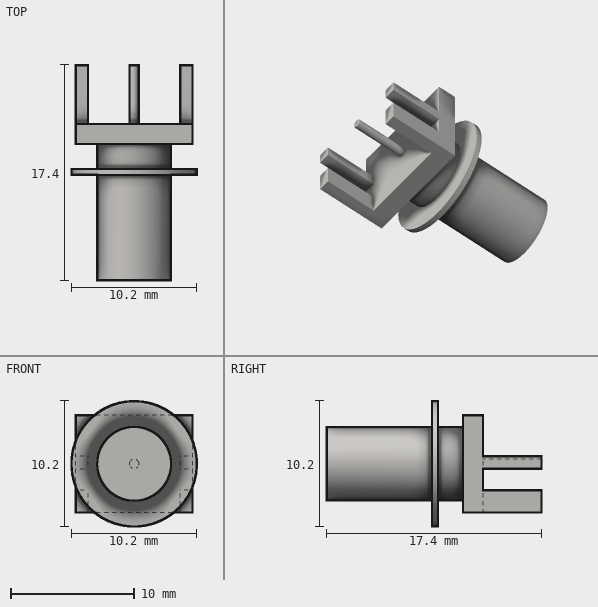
import cadquery as cq


plate_width = 9.5
plate_height = 7.92
plate_thickness = 1.65

barrel_diameter = 6.0
barrel_length = 11.05
flange_diameter = 10.2
flange_thickness = 0.5
flange_gap = 2.0

leg_length = 4.75
leg_width = 1.02
upper_leg_height = 1.02
board_slot_height = 1.73
upper_leg_top = 0.62
pin_diameter = 0.76

plate_front = -plate_thickness
plate_bottom = -plate_height / 2
upper_leg_bottom = upper_leg_top - upper_leg_height
lower_leg_top = upper_leg_bottom - board_slot_height


def cylinder_along_y(diameter, y_start, y_end):
    """Solid cylinder on the connector axis between two Y positions."""
    length = y_end - y_start
    return cq.Workplane(
        cq.Solid.makeCylinder(diameter / 2, length, cq.Vector(0, y_start, 0), cq.Vector(0, 1, 0))
    )


def make_plate():
    return cq.Workplane("XY").box(plate_width, plate_thickness, plate_height).translate(
        (0, -plate_thickness / 2, 0)
    )


def make_leg(side, z_bottom, z_top):
    """Leg behind the plate, flush with its side face; side is -1 or +1 along X."""
    x_center = side * (plate_width - leg_width) / 2
    z_center = (z_bottom + z_top) / 2
    return cq.Workplane("XY").box(leg_width, leg_length, z_top - z_bottom).translate(
        (x_center, leg_length / 2, z_center)
    )


def make_barrel():
    return cylinder_along_y(barrel_diameter, plate_front - barrel_length, plate_front)


def make_flange():
    flange_rear = plate_front - flange_gap
    return cylinder_along_y(flange_diameter, flange_rear - flange_thickness, flange_rear)


def make_pin():
    return cylinder_along_y(pin_diameter, 0, leg_length)


result = make_plate().union(make_barrel()).union(make_flange()).union(make_pin())
for side in (-1, 1):
    result = result.union(make_leg(side, upper_leg_bottom, upper_leg_top))
    result = result.union(make_leg(side, plate_bottom, lower_leg_top))